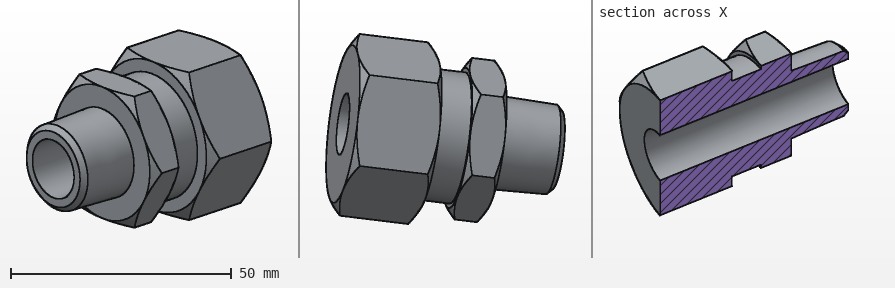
import cadquery as cq
import math


hex_sides = 6

total_length = 49.52
bore_diameter = 14.0

stub_length = 15.0
gauge_length = 8.2
gauge_diameter = 20.955
thread_taper = 1 / 16
stub_chamfer = 1.25

body_hex_across_flats = 32.0
body_hex_length = 8.0
collar_diameter = 30.0
nut_across_flats = 36.0
nut_length = 19.0
hex_chamfer_angle = 30.0

body_hex_start = stub_length
collar_start = body_hex_start + body_hex_length
nut_start = total_length - nut_length


def revolve_about_y(points):
    """Revolve a closed (radius, Y) outline around the Y axis."""
    return cq.Workplane("XY").polyline(points).close().revolve(360, (0, 0, 0), (0, 1, 0))


def thread_radius(y):
    """Radius of the tapered thread envelope at position y."""
    return (gauge_diameter + (y - gauge_length) * thread_taper) / 2


def cylinder(diameter, y_start, y_end):
    """Cylinder on the Y axis between two positions."""
    radius = diameter / 2
    return revolve_about_y([(0, y_start), (radius, y_start), (radius, y_end), (0, y_end)])


def chamfered_hexagon(across_flats, y_start, length):
    """Hexagon with corners on +X and -X, its corners turned off conically at both ends."""
    y_end = y_start + length
    flat_radius = across_flats / 2
    corner_radius = flat_radius / math.cos(math.pi / hex_sides)
    corner_drop = (corner_radius - flat_radius) * math.tan(math.radians(hex_chamfer_angle))

    prism = (
        cq.Workplane("XZ", origin=(0, y_end, 0))
        .polygon(hex_sides, 2 * corner_radius)
        .extrude(length)
    )
    turned_envelope = revolve_about_y([
        (0, y_start),
        (flat_radius, y_start),
        (corner_radius, y_start + corner_drop),
        (corner_radius, y_end - corner_drop),
        (flat_radius, y_end),
        (0, y_end),
    ])
    return prism.intersect(turned_envelope)


def tapered_stub():
    """Taper-threaded stub, chamfered at its free end."""
    chamfer_radius = thread_radius(stub_chamfer)
    return revolve_about_y([
        (0, 0),
        (chamfer_radius - stub_chamfer, 0),
        (chamfer_radius, stub_chamfer),
        (thread_radius(stub_length), stub_length),
        (0, stub_length),
    ])


stub = tapered_stub()
body_hex = chamfered_hexagon(body_hex_across_flats, body_hex_start, body_hex_length)
collar = cylinder(collar_diameter, collar_start, nut_start)
nut = chamfered_hexagon(nut_across_flats, nut_start, nut_length)
bore = cylinder(bore_diameter, 0, total_length)

result = stub.union(body_hex).union(collar).union(nut).cut(bore)